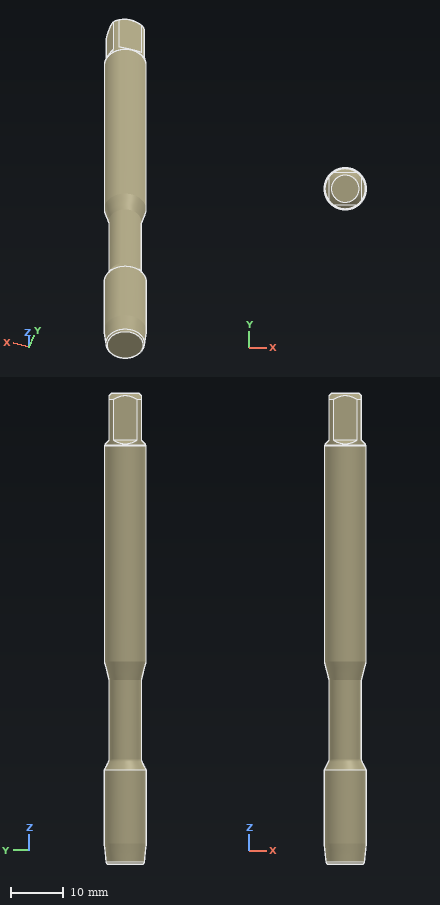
import cadquery as cq
import math


TOTAL_LENGTH = 90.2

HEAD_RADIUS = 8.1 / 2
HEAD_LENGTH = 18.0
LEAD_LENGTH = 4.0
LEAD_TIP_RADIUS = 3.7
TIP_CHAMFER_HEIGHT = 0.45
TIP_CHAMFER_WIDTH = 0.3

NECK_RADIUS = 6.2 / 2
NECK_CONE_ANGLE = math.radians(27)
NECK_FILLET_RADIUS = 1.2
FLARE_TOP = 38.8
FLARE_HEIGHT = 3.5

SHANK_RADIUS = 8.0 / 2
SHANK_TOP = 80.3
SHANK_CHAMFER = 0.2

DRIVE_RADIUS = 7.7 / 2
SQUARE_WIDTH = 6.2
FLAT_BOTTOM = 81.2
DRIVE_TOP_RADIUS = 2.6


def make_cutting_head():
    """Round head with a tapered lead and a small chamfer at the tip."""
    return (
        cq.Workplane("XZ")
        .moveTo(0, 0)
        .lineTo(LEAD_TIP_RADIUS - TIP_CHAMFER_WIDTH, 0)
        .lineTo(LEAD_TIP_RADIUS, TIP_CHAMFER_HEIGHT)
        .lineTo(HEAD_RADIUS, LEAD_LENGTH)
        .lineTo(HEAD_RADIUS, HEAD_LENGTH)
        .lineTo(0, HEAD_LENGTH)
        .close()
        .revolve(360, (0, 0, 0), (0, 1, 0))
    )


def make_turned_shank():
    """Neck, shank and round drive blank, revolved about Z."""
    fillet_start_radius = NECK_RADIUS + NECK_FILLET_RADIUS * (1 - math.cos(NECK_CONE_ANGLE))
    fillet_start = HEAD_LENGTH + (HEAD_RADIUS - fillet_start_radius) / math.tan(NECK_CONE_ANGLE)
    fillet_end = fillet_start + NECK_FILLET_RADIUS * math.sin(NECK_CONE_ANGLE)

    flare_start = FLARE_TOP - FLARE_HEIGHT
    top_cone_height = DRIVE_RADIUS - DRIVE_TOP_RADIUS

    return (
        cq.Workplane("XZ")
        .moveTo(0, HEAD_LENGTH)
        .lineTo(HEAD_RADIUS, HEAD_LENGTH)
        .lineTo(fillet_start_radius, fillet_start)
        .tangentArcPoint((NECK_RADIUS, fillet_end), relative=False)
        .lineTo(NECK_RADIUS, flare_start)
        .lineTo(SHANK_RADIUS, FLARE_TOP)
        .lineTo(SHANK_RADIUS, SHANK_TOP - SHANK_CHAMFER)
        .lineTo(DRIVE_RADIUS, SHANK_TOP)
        .lineTo(DRIVE_RADIUS, TOTAL_LENGTH - top_cone_height)
        .lineTo(DRIVE_TOP_RADIUS, TOTAL_LENGTH)
        .lineTo(0, TOTAL_LENGTH)
        .close()
        .revolve(360, (0, 0, 0), (0, 1, 0))
    )


def make_flat_cutter():
    """Tool for the +X flat, with a 45 degree slope running out at its lower end."""
    flat_distance = SQUARE_WIDTH / 2
    reach = SHANK_RADIUS - flat_distance
    return (
        cq.Workplane("XZ")
        .moveTo(flat_distance, FLAT_BOTTOM)
        .lineTo(flat_distance + reach, FLAT_BOTTOM - reach)
        .lineTo(flat_distance + reach, TOTAL_LENGTH)
        .lineTo(flat_distance, TOTAL_LENGTH)
        .close()
        .extrude(SHANK_RADIUS, both=True)
    )


def make_shank():
    """Turned shank with four flats cut on the drive."""
    body = make_turned_shank()
    cutter = make_flat_cutter()
    for side in range(4):
        body = body.cut(cutter.rotate((0, 0, 0), (0, 0, 1), 90 * side))
    return body


cutting_head = make_cutting_head()
shank = make_shank()

result = cq.Compound.makeCompound([cutting_head.val(), *shank.solids().vals()])